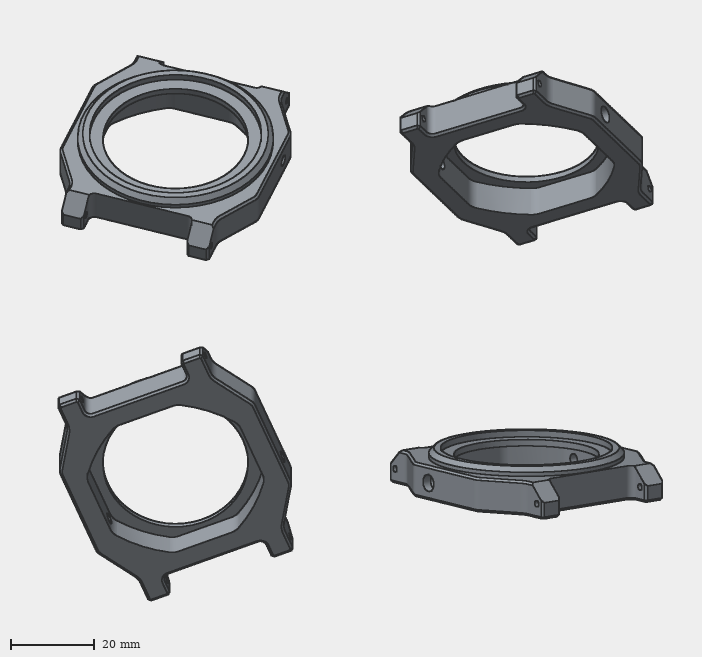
import cadquery as cq


length = 58.15
width = 50.4
body_height = 8.4
lug_outer_x = 18.75
lug_inner_x = 13.15
end_wall_y = 23.8
flat_side_end_y = 11.9
slant_end_y = 22.4
side_corner_radius = 3.0
lug_outer_radius = 4.1
lug_inner_radius = 1.55
edge_chamfer = 0.6
lug_slope_start_y = 24.8

total_height = 10.6
bezel_radius = 23.45
bezel_chamfer = 1.2
recess_radius = 20.6
recess_depth = 1.55
opening_radius = 17.4
lip_thickness = 1.55

cavity_half_x = 19.7
cavity_half_y = 18.75
bow_radius = 33.75
bow_center_x = 8.15
bow_center_y = 10.95
cavity_blend_radius = 4.1

pin_radius = 0.75
pin_y = 26.9
pin_z = 3.55
crown_y = 6.3
crown_z = 4.2
crown_radius = 1.35
crown_bore_radius = 2.05
crown_bore_depth = 2.3

half_length = length / 2
half_width = width / 2
recess_floor_z = total_height - recess_depth
cavity_top_z = recess_floor_z - lip_thickness
SIDES = (-1, 1)


def case_outline():
    """Octagon-like outline through the outer lug corners."""
    quarter = [
        (half_width, flat_side_end_y),
        (lug_outer_x, slant_end_y),
        (lug_outer_x, half_length),
    ]
    upper = quarter + [(-x, y) for x, y in reversed(quarter)]
    lower = [(-x, -y) for x, y in upper]
    return cq.Workplane("XY").polyline(upper + lower).close()


def corner_edges(body, x, y):
    """The four vertical edges of the body at (+-x, +-y)."""
    reach = 0.05
    points = [(side_x * x, side_y * y) for side_x in SIDES for side_y in SIDES]
    boxes = [
        cq.selectors.BoxSelector(
            (px - reach, py - reach, 0),
            (px + reach, py + reach, body_height),
        )
        for px, py in points
    ]
    return body.edges("|Z").edges(boxes[0] + boxes[1] + boxes[2] + boxes[3])


def disc(radius, bottom_z, top_z):
    return cq.Workplane("XY", origin=(0, 0, bottom_z)).circle(radius).extrude(top_z - bottom_z)


def lug_gap(side):
    """Space between the two lugs at one end, rounded at the lug roots."""
    depth = half_length - end_wall_y
    return (
        cq.Workplane("XY")
        .center(0, side * (end_wall_y + depth))
        .rect(2 * lug_inner_x, 2 * depth)
        .extrude(body_height)
        .edges("|Z")
        .fillet(lug_inner_radius)
    )


def lug_slopes():
    """Wedges above the 45 degree lug tops at both ends."""
    drop = half_length - lug_slope_start_y
    wedge = (
        cq.Workplane("YZ")
        .moveTo(lug_slope_start_y, body_height)
        .lineTo(half_length, body_height - drop)
        .lineTo(half_length, body_height)
        .close()
        .extrude(half_width, both=True)
    )
    return wedge.union(wedge.mirror("XZ"))


def make_body():
    body = case_outline().extrude(body_height)
    body = corner_edges(body, half_width, flat_side_end_y).fillet(side_corner_radius)
    body = corner_edges(body, lug_outer_x, slant_end_y).fillet(lug_outer_radius)
    body = corner_edges(body, lug_outer_x, half_length).chamfer(edge_chamfer)

    body = body.faces(">Z").edges().chamfer(edge_chamfer)
    for side in SIDES:
        body = body.cut(lug_gap(side))
    body = corner_edges(body, lug_inner_x, half_length).chamfer(edge_chamfer)
    body = body.faces("<Z").edges().chamfer(edge_chamfer)
    return body.cut(lug_slopes())


def make_bezel():
    return disc(bezel_radius, cavity_top_z, total_height).faces(">Z").chamfer(bezel_chamfer)


def make_cavity():
    cavity = cq.Workplane("XY").rect(2 * cavity_half_x, 2 * cavity_half_y).extrude(cavity_top_z)
    for side_x in SIDES:
        for side_y in SIDES:
            bow = disc(bow_radius, 0, cavity_top_z)
            cavity = cavity.intersect(bow.translate((side_x * bow_center_x, side_y * bow_center_y, 0)))
    return cavity.edges("|Z").fillet(cavity_blend_radius)


def through_hole(radius, y, z):
    """Cylinder along X through the whole width."""
    return cq.Workplane("YZ", origin=(0, y, z)).circle(radius).extrude(half_width, both=True)


def make_crown_hole():
    """Through hole with a cone-floored counterbore from the -X side."""
    floor_drop = crown_bore_radius - crown_radius
    tip_depth = crown_bore_depth + floor_drop
    counterbore = (
        cq.Workplane("XY", origin=(-half_width, crown_y, crown_z))
        .lineTo(0, crown_bore_radius)
        .lineTo(crown_bore_depth, crown_bore_radius)
        .lineTo(tip_depth, crown_radius)
        .lineTo(tip_depth, 0)
        .close()
        .revolve(360, (0, 0, 0), (1, 0, 0))
    )
    return counterbore.union(through_hole(crown_radius, crown_y, crown_z))


result = make_body().union(make_bezel())
result = result.cut(make_cavity())
result = result.cut(disc(opening_radius, 0, total_height))
result = result.cut(disc(recess_radius, recess_floor_z, total_height))
for side in SIDES:
    result = result.cut(through_hole(pin_radius, side * pin_y, pin_z))
result = result.cut(make_crown_hole())